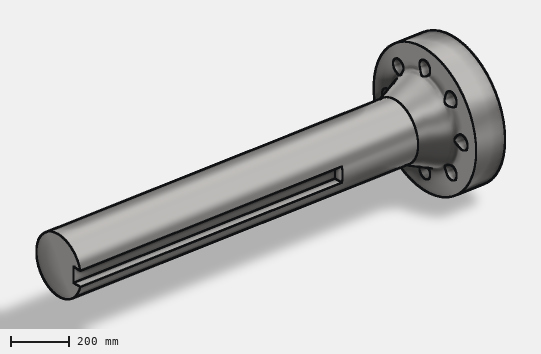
import cadquery as cq

OVERALL_LENGTH = 1727.2
FLANGE_DIAMETER = 558.8
FLANGE_THICKNESS = 127.0
SHAFT_DIAMETER = 243.84
HUB_BASE_DIAMETER = 355.6
HUB_LENGTH = 127.0
HUB_FILLET_RADIUS = 25.4

BOLT_COUNT = 8
BOLT_CIRCLE_DIAMETER = 406.4
BOLT_HOLE_DIAMETER = 58.42

KEYWAY_WIDTH = 63.5
KEYWAY_LENGTH = 1143.0
KEYWAY_DEPTH = 40.64

FLANGE_FRONT_Y = -FLANGE_THICKNESS
HUB_END_Y = FLANGE_FRONT_Y - HUB_LENGTH
SHAFT_END_Y = -OVERALL_LENGTH

KEYWAY_FLOOR_X = SHAFT_DIAMETER / 2 - KEYWAY_DEPTH


def make_flanged_shaft():
    """Revolve the flange, tapered hub and shaft, then round the hub root."""
    profile = (
        cq.Workplane("XY")
        .moveTo(0, 0)
        .lineTo(FLANGE_DIAMETER / 2, 0)
        .lineTo(FLANGE_DIAMETER / 2, FLANGE_FRONT_Y)
        .lineTo(HUB_BASE_DIAMETER / 2, FLANGE_FRONT_Y)
        .lineTo(SHAFT_DIAMETER / 2, HUB_END_Y)
        .lineTo(SHAFT_DIAMETER / 2, SHAFT_END_Y)
        .lineTo(0, SHAFT_END_Y)
        .close()
    )
    body = profile.revolve(360, (0, 0, 0), (0, 1, 0))
    second_smallest = 1
    hub_root = cq.selectors.RadiusNthSelector(second_smallest)
    return body.edges("%CIRCLE").edges(hub_root).fillet(HUB_FILLET_RADIUS)


def make_bolt_holes():
    """Cylinders on the bolt circle, long enough to clear the flange and hub fillet."""
    return (
        cq.Workplane("XZ")
        .polarArray(BOLT_CIRCLE_DIAMETER / 2, 0, 360, BOLT_COUNT)
        .circle(BOLT_HOLE_DIAMETER / 2)
        .extrude(FLANGE_THICKNESS + HUB_LENGTH)
    )


def make_keyway():
    """Box for a square-ended slot on the +X side, open at the free end of the shaft."""
    slot = cq.Workplane("XY").box(
        KEYWAY_DEPTH,
        KEYWAY_LENGTH,
        KEYWAY_WIDTH,
        centered=(False, False, True),
    )
    return slot.translate((KEYWAY_FLOOR_X, SHAFT_END_Y, 0))


result = make_flanged_shaft().cut(make_bolt_holes()).cut(make_keyway())